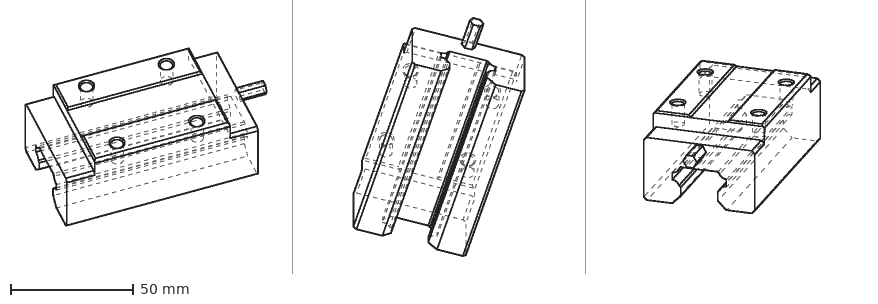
import cadquery as cq
import math

width = 48.0
total_length = 95.5
height = 34.5

end_cap_length = 12.2
pin_length = 11.8
body_length = total_length - pin_length
block_length = body_length - 2 * end_cap_length

end_cap_height = 27.6
side_chamfer = 1.3

mouth_half_width = 11.65
throat_half_width = 7.9
throat_bottom = mouth_half_width - throat_half_width
throat_top = 7.5
channel_top = 16.4
lip_chamfer = 0.8
lip_radius = 3.15

pad_height = 0.9
pad_half_gap = 7.9
pad_end_chamfer = 0.8

hole_spacing = 35.0
hole_diameter = 5.2
hole_mouth_diameter = 6.5
hole_depth = 9.55
drill_point_angle = 118.0

pin_across_corners = 5.9
pin_center_height = 24.45


def chamfered_bar(bar_height, length):
    """Full-width bar with its four long edges chamfered."""
    bar = cq.Workplane("XY").box(width, length, bar_height, centered=(True, True, False))
    return bar.edges("|Y").chamfer(side_chamfer)


def top_gap():
    """Shallow recess with 45 degree sides that separates the two pads."""
    floor = height - pad_height
    top_half_gap = pad_half_gap + pad_height
    outline = [
        (pad_half_gap, floor),
        (top_half_gap, height),
        (-top_half_gap, height),
        (-pad_half_gap, floor),
    ]
    return cq.Workplane("XZ").polyline(outline).close().extrude(block_length / 2, both=True)


def center_block():
    block = chamfered_bar(height, block_length)
    block = block.faces(">Z").edges("|X").chamfer(pad_end_chamfer)
    return block.cut(top_gap())


def rail_channel():
    """Channel with a groove on each side, framed by an upper and a lower rounded lip."""
    lip_start_x = throat_half_width + lip_chamfer
    lip_width = mouth_half_width - lip_start_x

    lip_start_rise = math.sqrt(lip_radius**2 - lip_width**2)
    mid_width = lip_width / 2
    mid_rise = math.sqrt(lip_radius**2 - mid_width**2)

    lower_lip_start = throat_top + lip_chamfer
    lower_lip_center = lower_lip_start - lip_start_rise
    upper_lip_start = channel_top - lip_chamfer
    upper_lip_center = upper_lip_start + lip_start_rise
    groove_bottom = lower_lip_center + lip_radius
    groove_top = upper_lip_center - lip_radius

    right_half = (
        cq.Workplane("XZ")
        .moveTo(0, 0)
        .lineTo(mouth_half_width, 0)
        .lineTo(throat_half_width, throat_bottom)
        .lineTo(throat_half_width, throat_top)
        .lineTo(lip_start_x, lower_lip_start)
        .threePointArc(
            (mouth_half_width - mid_width, lower_lip_center + mid_rise),
            (mouth_half_width, groove_bottom),
        )
        .lineTo(mouth_half_width, groove_top)
        .threePointArc(
            (mouth_half_width - mid_width, upper_lip_center - mid_rise),
            (lip_start_x, upper_lip_start),
        )
        .lineTo(throat_half_width, channel_top)
        .lineTo(0, channel_top)
        .close()
        .extrude(body_length / 2, both=True)
    )
    return right_half.union(right_half.mirror("YZ"))


def mounting_hole():
    """Solid of revolution for one hole, with its axis on Z and its mouth at the pad surface."""
    radius = hole_diameter / 2
    mouth_radius = hole_mouth_diameter / 2
    point_depth = radius / math.tan(math.radians(drill_point_angle / 2))
    profile = [
        (0, height),
        (mouth_radius, height),
        (radius, height - (mouth_radius - radius)),
        (radius, height - hole_depth),
        (0, height - hole_depth - point_depth),
    ]
    return cq.Workplane("XZ").polyline(profile).close().revolve(360, (0, 0), (0, 1))


def hex_pin():
    pin = cq.Workplane("XZ").center(0, pin_center_height).polygon(6, pin_across_corners)
    return pin.extrude(-pin_length).translate((0, body_length / 2, 0))


carriage = chamfered_bar(end_cap_height, body_length).union(center_block())
carriage = carriage.cut(rail_channel()).union(hex_pin())

for x_side in (-1, 1):
    for y_side in (-1, 1):
        hole_position = (x_side * hole_spacing / 2, y_side * hole_spacing / 2, 0)
        carriage = carriage.cut(mounting_hole().translate(hole_position))

result = carriage